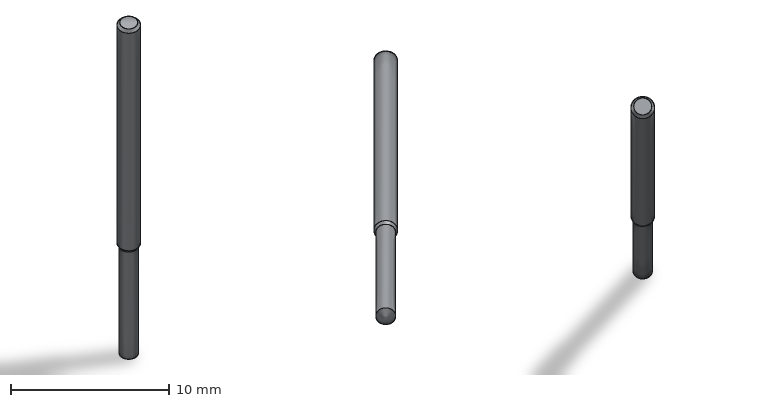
import cadquery as cq

total_length = 30.0
shank_diameter = 1.5
shank_length = total_length * 2 / 3

top_chamfer_height = 0.2
top_chamfer_width = 0.18
shoulder_height = 0.25

drill_diameter = 1.25
point_height = 0.35

shank_radius = shank_diameter / 2
drill_radius = drill_diameter / 2
shank_bottom = total_length - shank_length


def make_shank():
    """Round shank, chamfered at the top and tapered at the bottom to the drill diameter."""
    return (
        cq.Workplane("XZ")
        .moveTo(0, shank_bottom)
        .lineTo(drill_radius, shank_bottom)
        .lineTo(shank_radius, shank_bottom + shoulder_height)
        .lineTo(shank_radius, total_length - top_chamfer_height)
        .lineTo(shank_radius - top_chamfer_width, total_length)
        .lineTo(0, total_length)
        .close()
        .revolve(360, (0, 0, 0), (0, 1, 0))
    )


def make_drill():
    """Cylindrical drill with a conical point, butted against the bottom of the shank."""
    return (
        cq.Workplane("XZ")
        .lineTo(drill_radius, point_height)
        .lineTo(drill_radius, shank_bottom)
        .lineTo(0, shank_bottom)
        .close()
        .revolve(360, (0, 0, 0), (0, 1, 0))
    )


shank = make_shank()
drill = make_drill()

result = cq.Compound.makeCompound([shank.val(), drill.val()])